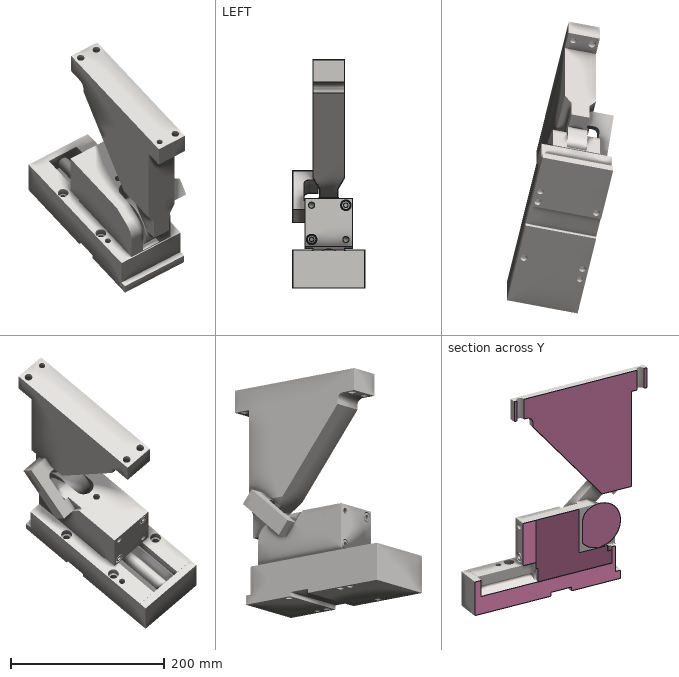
import cadquery as cq
import math


base_length = 219.5
base_width = 94.0
base_height = 50.0
base_end_x = 211.5
toe_height = 12.5
end_wall = 10.0
end_wall_drop = 0.3
side_recess_x = 200.0
side_recess_depth = 0.3
side_recess_bottom = 5.5
key_slot_x = 130.0
key_slot_width = 30.0
key_slot_depth = 5.5
bolt_mid_x = 110.0
bolt_spacing_x = 86.0
bolt_y = 39.0
bolt_hole = 9.0
bolt_head = 14.0
bolt_head_depth = 9.0
dowel_hole = 8.0
dowel_offset_x = 16.0

channel_half_width = 22.0
guide_top = 35.5
guide_bottom = 31.8
guide_half_width = 27.0
channel_floor_half = 12.0
floor_slope_angle = math.radians(30)
rod_diameter = 16.0
rod_z = 34.2
nut_end_x = 206.0
nut_radius = 16.8
nut_recess_depth = 3.0
rod_tip_length = 2.5
rod_tip_chamfer = 0.8

housing_x0 = 91.5
housing_x1 = base_end_x
housing_width = 62.4
housing_z0 = 52.0
housing_top = 117.0
nose_x = 178.6
nose_angle = math.radians(27)
nose_radius = 23.0
slide_key_half_width = 20.75
slide_key_end_x = 200.0
guide_play = channel_half_width - slide_key_half_width
oil_hole_x = 136.7
oil_hole = 9.0
oil_hole_depth = 20.0
cap_thickness = 19.0
cap_size = housing_width
cap_hole_spacing = 44.6
cap_screw_head = 11.0
cap_screw_bore = 13.6
cap_screw_bore_depth = 7.0
cap_screw_socket = 6.0
cap_screw_socket_depth = 4.0
cap_drill = 8.0
cap_drill_depth = 12.0
drill_tip_angle = math.radians(59)

hub_x = 187.0
hub_z = 85.7
hub_radius = 32.2
hub_width = 26.0
hub_back_radius = 20.0
hub_back_angle = math.radians(117)
hub_slot_end_x = 147.5
arm_angle = math.radians(40)
arm_edge = 230.0
arm_half_width = 20.75
arm_neck_half_width = 12.0
neck_top = 129.0
neck_slope_angle = math.radians(30)
arm_right_x = 235.5
arm_left_x = 87.0
arm_bottom = 98.5
top_plate_x0 = 59.03
top_plate_length = 200.0
top_plate_thickness = 29.6
top_z = 298.0
corner_radius = 8.5
plate_hole = 10.0
small_plate_hole = 8.0
plate_hole_inset_x = 10.0
plate_hole_y = 12.5

clamp_start = 180.6
clamp_length = 78.6
clamp_top = -17.4
clamp_thickness = 22.8
clamp_leg = 19.0
clamp_outer_y = base_width / 2
clamp_back_y = 32.0
clamp_arm_leg_y = 14.0
clamp_housing_leg_y = 26.2
clamp_corner_radius = 7.0


def box(x0, x1, y0, y1, z0, z1):
    return cq.Workplane("XY").box(x1 - x0, y1 - y0, z1 - z0, centered=False).translate((x0, y0, z0))


def side_plate(outline, half_width):
    """Extrude an outline drawn in X and Z to both sides of the middle plane."""
    return outline.extrude(half_width, both=True)


def vertical_cylinder(x, y, top, diameter, depth):
    return cq.Workplane("XY", origin=(x, y, top - depth)).circle(diameter / 2).extrude(depth)


def cylinder_along_x(x, y, z, diameter, depth):
    return cq.Workplane("YZ", origin=(x, y, z)).circle(diameter / 2).extrude(depth)


def channel_section(x0, x1, half_width, top):
    """Block with vertical sides and a shallow V-shaped underside with a flat middle."""
    floor = guide_bottom - (channel_half_width - channel_floor_half) * math.tan(floor_slope_angle)
    side_bottom = floor + (half_width - channel_floor_half) * math.tan(floor_slope_angle)
    outline = [
        (-half_width, top),
        (-half_width, side_bottom),
        (-channel_floor_half, floor),
        (channel_floor_half, floor),
        (half_width, side_bottom),
        (half_width, top),
    ]
    return cq.Workplane("YZ", origin=(x0, 0, 0)).polyline(outline).close().extrude(x1 - x0)


def guide_bar(x0, x1, half_width):
    return box(x0, x1, -half_width, half_width, guide_bottom, guide_top)


def angled_block(start, length, y0, y1, bottom, top):
    """Block turned to the arm angle."""
    block = box(start, start + length, y0, y1, bottom, top)
    return block.rotate((0, 0, 0), (0, 1, 0), -math.degrees(arm_angle))


def make_base():
    half_width = base_width / 2
    body = box(0, base_end_x, -half_width, half_width, 0, base_height)
    body = body.union(box(base_end_x, base_length, -half_width, half_width, 0, toe_height))
    body = body.cut(channel_section(end_wall, nut_end_x, channel_half_width, base_height))
    body = body.cut(guide_bar(end_wall, nut_end_x, guide_half_width))
    body = body.cut(box(0, end_wall, -half_width, half_width, base_height - end_wall_drop, base_height))
    recess_y = side_recess_depth - half_width
    body = body.cut(box(side_recess_x, base_end_x, -half_width, recess_y, side_recess_bottom, base_height))
    slot_x0 = key_slot_x - key_slot_width / 2
    body = body.cut(box(slot_x0, slot_x0 + key_slot_width, -half_width, half_width, 0, key_slot_depth))
    for side_x in (-1, 1):
        bolt_x = bolt_mid_x + side_x * bolt_spacing_x / 2
        for side_y in (-1, 1):
            y = side_y * bolt_y
            body = body.cut(vertical_cylinder(bolt_x, y, base_height, bolt_hole, base_height))
            body = body.cut(vertical_cylinder(bolt_x, y, base_height, bolt_head, bolt_head_depth))
        dowel_x = bolt_x + side_x * dowel_offset_x
        body = body.cut(vertical_cylinder(dowel_x, -side_x * bolt_y, base_height, dowel_hole, base_height))
    return body


def make_rod():
    shaft = cylinder_along_x(end_wall, 0, rod_z, rod_diameter, nut_end_x - end_wall)
    return shaft.faces("<X").chamfer(rod_tip_length, rod_tip_chamfer)


def housing_block():
    """Housing whose right end slopes down from the top and rounds into the end face."""
    slope_turn = math.pi / 2 - nose_angle
    arc_start_x = housing_x1 - nose_radius * (1 - math.cos(slope_turn))
    arc_start_z = housing_top - (arc_start_x - nose_x) * math.tan(nose_angle)
    arc_center_z = arc_start_z - nose_radius * math.sin(slope_turn)
    arc_center_x = housing_x1 - nose_radius
    arc_mid = (
        arc_center_x + nose_radius * math.cos(slope_turn / 2),
        arc_center_z + nose_radius * math.sin(slope_turn / 2),
    )
    outline = (
        cq.Workplane("XZ")
        .moveTo(housing_x0, housing_z0)
        .lineTo(housing_x0, housing_top)
        .lineTo(nose_x, housing_top)
        .lineTo(arc_start_x, arc_start_z)
        .threePointArc(arc_mid, (housing_x1, arc_center_z))
        .lineTo(housing_x1, housing_z0)
        .close()
    )
    return side_plate(outline, housing_width / 2)


def hub_slot():
    """Slot for the hub, round at its left end and open at the right."""
    round_x = hub_slot_end_x + hub_width / 2
    floor = hub_z - hub_radius
    slot = box(round_x, housing_x1, -hub_width / 2, hub_width / 2, floor, housing_top)
    return slot.union(vertical_cylinder(round_x, 0, housing_top, hub_width, housing_top - floor))


def slide_key():
    """Key running in the channel: guide bars at the sides, a round-topped nut at the right end."""
    key = channel_section(housing_x0, slide_key_end_x, slide_key_half_width, housing_z0)
    key = key.union(guide_bar(housing_x0, slide_key_end_x, guide_half_width - guide_play))
    nut = cylinder_along_x(slide_key_end_x, 0, rod_z, 2 * nut_radius, nut_end_x - slide_key_end_x)
    nut = nut.intersect(channel_section(slide_key_end_x, nut_end_x, slide_key_half_width, housing_z0))
    key = key.union(nut)
    key = key.cut(cylinder_along_x(housing_x0, 0, rod_z, 2 * nut_radius, nut_recess_depth))
    return key.cut(cylinder_along_x(housing_x0, 0, rod_z, rod_diameter, nut_end_x - housing_x0))


def make_housing():
    body = housing_block().cut(hub_slot()).union(slide_key())
    body = body.cut(vertical_cylinder(oil_hole_x, 0, housing_top, oil_hole, oil_hole_depth))
    clamp_notch = angled_block(
        clamp_start, clamp_leg, clamp_housing_leg_y, clamp_outer_y, clamp_top - clamp_thickness, housing_top
    )
    return body.cut(clamp_notch)


def drilled_hole(x, y, z):
    """Blind hole along X with a pointed drill bottom."""
    radius = cap_drill / 2
    tip = radius / math.tan(drill_tip_angle)
    half_section = [(0, 0), (cap_drill_depth + tip, 0), (cap_drill_depth, radius), (0, radius)]
    drill = cq.Workplane("XY").polyline(half_section).close().revolve(360, (0, 0, 0), (1, 0, 0))
    return drill.translate((x, y, z))


def make_cap():
    x0 = housing_x0 - cap_thickness
    cap_z = housing_top - cap_size / 2
    body = box(x0, housing_x0, -cap_size / 2, cap_size / 2, housing_top - cap_size, housing_top)
    for side in (-1, 1):
        y = side * cap_hole_spacing / 2
        screw_z = cap_z - y
        body = body.cut(cylinder_along_x(x0, y, screw_z, cap_screw_bore, cap_screw_bore_depth))
        body = body.union(cylinder_along_x(x0, y, screw_z, cap_screw_head, cap_screw_bore_depth))
        body = body.cut(cylinder_along_x(x0, y, screw_z, cap_screw_socket, cap_screw_socket_depth))
        body = body.cut(drilled_hole(x0, y, cap_z + y))
    return body


def edge_z(x):
    """Height of the arm's sloped edge at a given X."""
    return (arm_edge - x * math.cos(arm_angle)) / math.sin(arm_angle)


def edge_x(z):
    """X of the arm's sloped edge at a given height."""
    return (arm_edge - z * math.sin(arm_angle)) / math.cos(arm_angle)


def arm_blank():
    plate_bottom = top_z - top_plate_thickness
    plate_x1 = top_plate_x0 + top_plate_length
    corner_mid = corner_radius * math.sqrt(0.5)
    corner_x = arm_left_x - corner_radius
    corner_z = plate_bottom - corner_radius
    outline = (
        cq.Workplane("XZ")
        .moveTo(top_plate_x0, top_z)
        .lineTo(plate_x1, top_z)
        .lineTo(plate_x1, plate_bottom)
        .lineTo(arm_right_x, plate_bottom)
        .lineTo(arm_right_x, arm_bottom)
        .lineTo(edge_x(arm_bottom), arm_bottom)
        .lineTo(arm_left_x, edge_z(arm_left_x))
        .lineTo(arm_left_x, corner_z)
        .threePointArc((corner_x + corner_mid, corner_z + corner_mid), (corner_x, plate_bottom))
        .lineTo(top_plate_x0, plate_bottom)
        .close()
    )
    return side_plate(outline, arm_half_width)


def neck_relief(side):
    """Material removed on one side of the arm to leave the narrow neck below a sloped shoulder."""
    shoulder_z = neck_top + (arm_half_width - arm_neck_half_width) / math.tan(neck_slope_angle)
    outline = [
        (side * arm_neck_half_width, arm_bottom),
        (side * arm_neck_half_width, neck_top),
        (side * arm_half_width, shoulder_z),
        (side * arm_half_width, arm_bottom),
    ]
    return cq.Workplane("YZ").polyline(outline).close().extrude(arm_right_x)


def make_hub():
    """Round hub whose left side pulls in with a tighter arc and a vertical flat."""

    def on_circle(center_x, center_z, radius, angle):
        return (center_x + radius * math.cos(angle), center_z + radius * math.sin(angle))

    back_x, back_z = on_circle(hub_x, hub_z, hub_radius - hub_back_radius, hub_back_angle)
    back_mid_angle = (hub_back_angle + math.pi) / 2
    flat_x = back_x - hub_back_radius
    flat_bottom = hub_z - math.sqrt(hub_radius**2 - (hub_x - flat_x) ** 2)
    outline = (
        cq.Workplane("XZ")
        .moveTo(*on_circle(hub_x, hub_z, hub_radius, hub_back_angle))
        .threePointArc(on_circle(back_x, back_z, hub_back_radius, back_mid_angle), (flat_x, back_z))
        .lineTo(flat_x, flat_bottom)
        .threePointArc((hub_x + hub_radius, hub_z), on_circle(hub_x, hub_z, hub_radius, hub_back_angle))
        .close()
    )
    return side_plate(outline, hub_width / 2)


def make_arm():
    body = arm_blank()
    for side in (-1, 1):
        body = body.cut(neck_relief(side))
    body = body.cut(
        angled_block(
            0,
            clamp_start + clamp_length,
            clamp_arm_leg_y,
            clamp_outer_y,
            clamp_top - clamp_thickness,
            clamp_top,
        )
    )
    hole_x0 = top_plate_x0 + plate_hole_inset_x
    hole_x1 = top_plate_x0 + top_plate_length - plate_hole_inset_x
    plate_holes = [
        (hole_x0, plate_hole_y, plate_hole),
        (hole_x0, -plate_hole_y, plate_hole),
        (hole_x1, plate_hole_y, plate_hole),
        (hole_x1, -plate_hole_y, small_plate_hole),
    ]
    for x, y, diameter in plate_holes:
        body = body.cut(vertical_cylinder(x, y, top_z, diameter, top_plate_thickness))
    return body.union(make_hub())


def make_clamp():
    """C-shaped clamp: one leg sits in the arm, the other in the housing."""
    bottom = clamp_top - clamp_thickness
    end = clamp_start + clamp_length
    outline = [
        (clamp_start, clamp_outer_y),
        (end, clamp_outer_y),
        (end, clamp_arm_leg_y),
        (end - clamp_leg, clamp_arm_leg_y),
        (end - clamp_leg, clamp_back_y),
        (clamp_start + clamp_leg, clamp_back_y),
        (clamp_start + clamp_leg, clamp_housing_leg_y),
        (clamp_start, clamp_housing_leg_y),
    ]
    body = cq.Workplane("XY", origin=(0, 0, bottom)).polyline(outline).close().extrude(clamp_thickness)
    corner_point = (end - clamp_leg, clamp_back_y, bottom + clamp_thickness / 2)
    corner = cq.selectors.NearestToPointSelector(corner_point)
    body = body.edges("|Z").edges(corner).fillet(clamp_corner_radius)
    return body.rotate((0, 0, 0), (0, 1, 0), -math.degrees(arm_angle))


base = make_base()
rod = make_rod()
housing = make_housing()
cap = make_cap()
arm = make_arm()
clamp = make_clamp()
result = cq.Compound.makeCompound(
    [body.solids().val() for body in (base, rod, housing, cap, arm, clamp)]
)